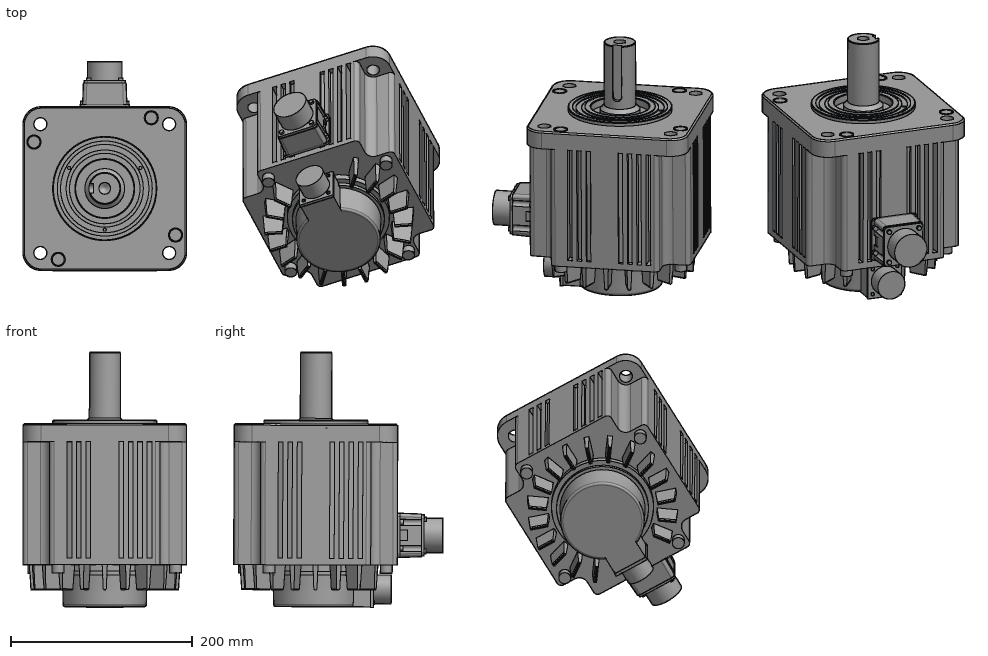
import cadquery as cq
import math


flange_side = 180.0
half_side = flange_side / 2
flange_thickness = 20.0
flange_corner_radius = 20.0
flange_edge_chamfer = 1.7
mount_hole_spacing = 141.5
mount_hole_diameter = 14
finned_body_bottom = -147.8
body_bottom = -155.0

notch_radius = 10.0
notch_edge_radius = 5.0

groove_width = 5.0
groove_pitch = 10.5
first_groove_position = 18.0
groove_floor_radius = 88.2
grooves_before_centre = 3
grooves_after_centre = 4

bolt_long_offset = 77.8
bolt_short_offset = 51.0
bolt_head_diameter = 13.2
bolt_head_height = 9.0
bolt_ring_diameter = 15.5
bolt_ring_depth = 1.0

pilot_radius = 57.3
pilot_height = 4.2
pilot_chamfer = 0.8
ring_step_depth = 1.0
upper_step_radii = (38.8, 52.3)
lower_step_radii = (42.5, 48.5)
ring_hole_count = 3
ring_hole_start_angle = 30
ring_hole_circle_radius = 45.2
ring_hole_diameter = 3.5
ring_hole_depth = 2.8
recess_radius = 32.0
recess_chamfer = 0.8
recess_floor = -4.5

shaft_radius = 17.5
shaft_top = 79.0
shaft_chamfer = 0.8
collar_radius = 22.0
collar_cylinder_top = 1.7
key_width = 10.0
key_floor_distance = 12.6
key_bottom = 15.2
centre_hole_diameter = 13.0
centre_hole_depth = 25.3
drill_point_angle = 118

fin_count = 20
fins_left_out_beside_y = 1
fin_bottom = -182.5
fin_outer_radius = (83.0, 81.2)
fin_inner_radius = (60.0, 62.0)
fin_thickness = (5.5, 3.5)
fin_tip_chamfer = 1.0
cover_radius = 56.2
cover_bottom = -162.0
cover_step_radius = 50.5
cover_step_bottom = -166.3
cap_bottom = -201.2
cap_radius = (47.0, 45.8)
cap_edge_radius = 2.5

power_z = -122.2
power_base_width = 54.0
power_base_height = 49.0
power_base_end = 92.7
power_box_base_side = 49.0
power_box_end_side = 47.2
power_box_corner_radius = 4.0
power_box_end = 116.5
power_plate_side = 45.5
power_plate_end = 119.5
power_plug_radius = 19.0
power_plug_end = 140.0
power_screw_offset = 17.7
power_screw_radius = 2.5
power_screw_height = 2.2
base_screw_x = 24.0
base_screw_z = 14.3
base_screw_radius = 2.8
base_screw_height = 3.7
screw_channel_radius = 3.5
side_pocket_height = 11.2
side_pocket_end = 101.0
side_pocket_depth = 0.8

encoder_z = -181.8
encoder_box_side = 38.8
encoder_box_end = 60.7
encoder_plate_side = 40.0
encoder_plate_end = 64.0
encoder_plug_radius = 16.0
encoder_plug_end = 83.5
encoder_screw_offset = 14.5
encoder_screw_radius = 2.0
encoder_screw_height = 1.0

lean_angle = -0.2

flange_bottom = -flange_thickness
mount_offset = mount_hole_spacing / 2


def cylinder(radius, bottom, top):
    return cq.Workplane("XY").workplane(offset=bottom).circle(radius).extrude(top - bottom)


def cylinder_along_y(radius, x, z, start, end):
    return cq.Workplane("XZ", origin=(x, start, z)).circle(radius).extrude(start - end)


def block_along_y(width, height, z, start, end):
    return cq.Workplane("XY").box(width, end - start, height).translate((0, (start + end) / 2, z))


def four_turns(shape):
    turned = shape
    for turn in range(1, 4):
        turned = turned.union(shape.rotate((0, 0, 0), (0, 0, 1), 90 * turn))
    return turned


def make_flange():
    plate = (
        cq.Workplane("XY")
        .workplane(offset=flange_bottom)
        .rect(flange_side, flange_side)
        .extrude(flange_thickness)
        .edges("|Z")
        .fillet(flange_corner_radius)
        .faces(">Z")
        .edges()
        .chamfer(flange_edge_chamfer)
    )
    holes = (
        cq.Workplane("XY")
        .workplane(offset=flange_bottom)
        .rect(mount_hole_spacing, mount_hole_spacing, forConstruction=True)
        .vertices()
        .circle(mount_hole_diameter / 2)
        .extrude(flange_thickness)
    )
    return plate.cut(holes)


def make_corner_notch():
    """Square notch in the (+X, +Y) corner, open outwards, with a rounded inner corner."""
    wall = mount_offset - notch_radius
    length = half_side - wall
    height = flange_bottom - body_bottom
    centre = wall + length / 2
    return (
        cq.Workplane("XY")
        .workplane(offset=body_bottom)
        .center(centre, centre)
        .rect(length, length)
        .extrude(height)
        .edges("|Z and <X and <Y")
        .fillet(notch_radius)
    )


def make_body():
    height = flange_bottom - body_bottom
    body = cq.Workplane("XY").workplane(offset=body_bottom).rect(flange_side, flange_side).extrude(height)
    body = body.cut(four_turns(make_corner_notch()))
    convex_edges = body.edges("|Z").filter(
        lambda edge: max(abs(edge.Center().x), abs(edge.Center().y)) > mount_offset
    )
    body = convex_edges.fillet(notch_edge_radius)
    return body.cut(four_turns(make_side_grooves()))


def make_side_grooves():
    """Grooves of the -Y side, all cut down to one cylinder around the shaft axis."""
    before = [-first_groove_position - groove_pitch * i for i in range(grooves_before_centre)]
    after = [first_groove_position + groove_pitch * i for i in range(grooves_after_centre)]
    slots = (
        cq.Workplane("XY")
        .workplane(offset=finned_body_bottom)
        .pushPoints([(x, -half_side / 2) for x in before + after])
        .rect(groove_width, half_side)
        .extrude(flange_bottom - finned_body_bottom)
    )
    return slots.cut(cylinder(groove_floor_radius, finned_body_bottom, flange_bottom))


def make_bolt_heads():
    head = (
        cq.Workplane("XY")
        .workplane(offset=body_bottom - bolt_head_height)
        .center(bolt_short_offset, bolt_long_offset)
        .circle(bolt_head_diameter / 2)
        .extrude(bolt_head_height)
    )
    return four_turns(head)


def make_bolt_rings():
    ring = (
        cq.Workplane("XY")
        .workplane(offset=-bolt_ring_depth)
        .center(bolt_short_offset, bolt_long_offset)
        .circle(bolt_ring_diameter / 2)
        .circle(bolt_head_diameter / 2)
        .extrude(bolt_ring_depth)
    )
    return four_turns(ring)


def add_pilot(motor):
    pilot = cylinder(pilot_radius, 0, pilot_height).faces(">Z").edges().chamfer(pilot_chamfer)
    motor = motor.union(pilot)
    step_top = pilot_height
    for inner, outer in (upper_step_radii, lower_step_radii):
        step_bottom = step_top - ring_step_depth
        step = cylinder(outer, step_bottom, step_top).cut(cylinder(inner, step_bottom, step_top))
        motor = motor.cut(step)
        step_top = step_bottom
    holes = (
        cq.Workplane("XY")
        .workplane(offset=step_top - ring_hole_depth)
        .polarArray(ring_hole_circle_radius, ring_hole_start_angle, 360, ring_hole_count)
        .circle(ring_hole_diameter / 2)
        .extrude(ring_hole_depth)
    )
    motor = motor.cut(holes)
    motor = motor.cut(cylinder(recess_radius, recess_floor, pilot_height))
    rim = cq.Solid.makeCone(
        recess_radius,
        recess_radius + recess_chamfer,
        recess_chamfer,
        pnt=cq.Vector(0, 0, pilot_height - recess_chamfer),
    )
    return motor.cut(cq.Workplane("XY").add(rim))


def make_shaft():
    cone_top = collar_cylinder_top + collar_radius - shaft_radius
    profile = (
        cq.Workplane("XZ")
        .moveTo(0, recess_floor)
        .lineTo(collar_radius, recess_floor)
        .lineTo(collar_radius, collar_cylinder_top)
        .lineTo(shaft_radius, cone_top)
        .lineTo(shaft_radius, shaft_top - shaft_chamfer)
        .lineTo(shaft_radius - shaft_chamfer, shaft_top)
        .lineTo(0, shaft_top)
        .close()
    )
    shaft = profile.revolve(360, (0, 0, 0), (0, 1, 0))

    key_end_centre = key_bottom + key_width / 2
    key_slot = (
        cq.Workplane("YZ", origin=(-shaft_radius, 0, 0))
        .moveTo(-key_width / 2, shaft_top)
        .lineTo(-key_width / 2, key_end_centre)
        .threePointArc((0, key_bottom), (key_width / 2, key_end_centre))
        .lineTo(key_width / 2, shaft_top)
        .close()
        .extrude(shaft_radius - key_floor_distance)
    )
    hole_radius = centre_hole_diameter / 2
    hole_bottom = shaft_top - centre_hole_depth
    point_depth = hole_radius / math.tan(math.radians(drill_point_angle / 2))
    centre_hole = (
        cq.Workplane("XZ")
        .moveTo(0, shaft_top)
        .lineTo(hole_radius, shaft_top)
        .lineTo(hole_radius, hole_bottom)
        .lineTo(0, hole_bottom - point_depth)
        .close()
        .revolve(360, (0, 0, 0), (0, 1, 0))
    )
    return shaft.cut(key_slot).cut(centre_hole)


def make_fin():
    """Radial fin along +Y, thinner and shorter towards its free lower edge."""
    top_outer, bottom_outer = fin_outer_radius
    top_inner, bottom_inner = fin_inner_radius
    top_thickness, bottom_thickness = fin_thickness
    top_centre = (top_outer + top_inner) / 2
    bottom_centre = (bottom_outer + bottom_inner) / 2
    fin = (
        cq.Workplane("XY", origin=(0, top_centre, body_bottom))
        .rect(top_thickness, top_outer - top_inner)
        .workplane(offset=fin_bottom - body_bottom)
        .center(0, bottom_centre - top_centre)
        .rect(bottom_thickness, bottom_outer - bottom_inner)
        .loft(combine=True)
    )
    return fin.faces("<Z").edges("not |X").chamfer(fin_tip_chamfer)


def make_rear_cover():
    cover = cylinder(cover_radius, cover_bottom, body_bottom)
    cover = cover.union(cylinder(cover_step_radius, cover_step_bottom, cover_bottom))
    cap = (
        cq.Workplane("XY")
        .workplane(offset=cap_bottom)
        .circle(cap_radius[1])
        .workplane(offset=cover_step_bottom - cap_bottom)
        .circle(cap_radius[0])
        .loft(combine=True)
        .faces("<Z")
        .edges()
        .fillet(cap_edge_radius)
    )
    cover = cover.union(cap)
    fin = make_fin()
    for i in range(fins_left_out_beside_y + 1, fin_count - fins_left_out_beside_y):
        cover = cover.union(fin.rotate((0, 0, 0), (0, 0, 1), 360 / fin_count * i))
    return cover


def make_corner_screws(offset, radius, z, start, height):
    screws = cq.Workplane("XY")
    for x in (-offset, offset):
        for dz in (-offset, offset):
            screws = screws.union(cylinder_along_y(radius, x, z + dz, start, start + height))
    return screws


def make_power_connector():
    base = block_along_y(power_base_width, power_base_height, power_z, half_side, power_base_end)
    base = base.edges("|Y").fillet(power_box_corner_radius)
    box = (
        cq.Workplane("XZ", origin=(0, power_base_end, power_z))
        .rect(power_box_base_side, power_box_base_side)
        .workplane(offset=power_base_end - power_box_end)
        .rect(power_box_end_side, power_box_end_side)
        .loft(combine=True)
        .edges("not (|X or |Z)")
        .fillet(power_box_corner_radius)
    )
    screws = cq.Workplane("XY")
    for x in (-base_screw_x, base_screw_x):
        for dz in (-base_screw_z, base_screw_z):
            z = power_z + dz
            box = box.cut(cylinder_along_y(screw_channel_radius, x, z, power_base_end, power_box_end))
            screw_end = power_base_end + base_screw_height
            screws = screws.union(cylinder_along_y(base_screw_radius, x, z, power_base_end, screw_end))
    inner_width = power_box_end_side - 2 * side_pocket_depth
    pocket = block_along_y(power_base_width, side_pocket_height, power_z, power_base_end, side_pocket_end)
    pocket = pocket.cut(
        block_along_y(inner_width, side_pocket_height, power_z, power_base_end, side_pocket_end)
    )
    box = box.cut(pocket)
    plate = block_along_y(power_plate_side, power_plate_side, power_z, power_box_end, power_plate_end)
    plate = plate.edges("|Y").fillet(power_box_corner_radius)
    plug = cylinder_along_y(power_plug_radius, 0, power_z, power_plate_end, power_plug_end)
    plate_screws = make_corner_screws(
        power_screw_offset, power_screw_radius, power_z, power_plate_end, power_screw_height
    )
    return base.union(box).union(screws).union(plate).union(plug).union(plate_screws)


def make_encoder_connector():
    box = block_along_y(encoder_box_side, encoder_box_side, encoder_z, 0, encoder_box_end)
    plate = block_along_y(
        encoder_plate_side, encoder_plate_side, encoder_z, encoder_box_end, encoder_plate_end
    )
    plug = cylinder_along_y(encoder_plug_radius, 0, encoder_z, encoder_plate_end, encoder_plug_end)
    screws = make_corner_screws(
        encoder_screw_offset, encoder_screw_radius, encoder_z, encoder_plate_end, encoder_screw_height
    )
    return box.union(plate).union(plug).union(screws)


motor = make_flange().union(make_body())
motor = motor.cut(make_bolt_rings())
motor = add_pilot(motor)
motor = motor.union(make_shaft())
motor = motor.union(make_bolt_heads())
motor = motor.union(make_rear_cover())
motor = motor.union(make_power_connector())
motor = motor.union(make_encoder_connector())
result = motor.rotate((0, 0, 0), (1, 0, 0), lean_angle)